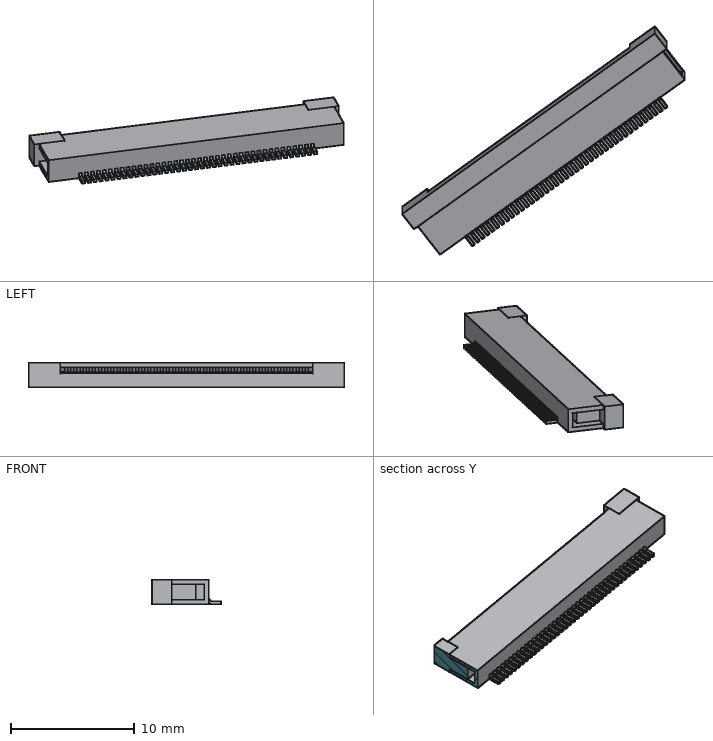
import cadquery as cq

total_length = 25.6
total_depth = 5.6
height = 2.0

housing_length = 24.8
housing_rear = 4.6
rear_wall = 0.35
wall = 0.38
pocket_rear = housing_rear - rear_wall
pocket_top = height - wall

bar_depth = 1.6
arm_rear = 3.55
arms_outer_length = 23.1

slot_length = 20.48
slot_floor = 1.13
slot_roof = 1.25
slot_rear = arm_rear
lip_front = 0.56
lead_in_run = 0.3

contact_count = 40
contact_row_length = 19.5
contact_pitch = contact_row_length / (contact_count - 1)
contact_width = 0.25
contact_bottom = 1.2
contact_run = 0.33
lead_thickness = 0.25
lead_top_bend = 0.2
lead_bottom_bend = 0.13


def box(x_start, x_end, length, z_start, z_end):
    """Box centred on Y = 0 between the given X and Z limits."""
    return (
        cq.Workplane("XY", origin=(0, 0, z_start))
        .rect(x_end - x_start, length)
        .extrude(z_end - z_start)
        .translate(((x_start + x_end) / 2, 0, 0))
    )


def profile_solid(points, y_center, length):
    """Extrude an XZ outline along Y, centred on y_center."""
    return (
        cq.Workplane("XZ", origin=(0, y_center, 0))
        .polyline(points)
        .close()
        .extrude(length / 2, both=True)
    )


def sloped_block(bottom, run, y_center, length):
    """Block below the lip whose front face slopes down to `bottom` over `run` in depth."""
    outline = [
        (lip_front, pocket_top),
        (lip_front + run, bottom),
        (slot_rear, bottom),
        (slot_rear, pocket_top),
    ]
    return profile_solid(outline, y_center, length)


def solder_lead(y_center):
    """Strip that leaves the rear wall, slopes down at 45 degrees and ends flat at Z = 0."""
    outline = [
        (housing_rear, lead_bottom_bend),
        (housing_rear + lead_bottom_bend, 0),
        (total_depth, 0),
        (total_depth, lead_thickness),
        (housing_rear + lead_top_bend, lead_thickness),
        (housing_rear, lead_thickness + lead_top_bend),
    ]
    return profile_solid(outline, y_center, contact_width)


def end_regions(x_start, x_end, outer_length, z_start, z_end):
    """Two boxes, one at each end, that reach from the slot ends out to `outer_length`."""
    full = box(x_start, x_end, outer_length, z_start, z_end)
    return full.cut(box(x_start, x_end, slot_length, z_start, z_end))


def make_housing():
    """Block with end pockets and a cable slot, with the contacts and leads fused to it."""
    block = box(bar_depth, housing_rear, housing_length, 0, height)
    pockets = end_regions(bar_depth, pocket_rear, housing_length, wall, pocket_top)
    slot = box(bar_depth, slot_rear, slot_length, slot_floor, slot_roof)
    lip = box(lip_front, bar_depth, slot_length, pocket_top, height)
    lead_in = sloped_block(slot_roof, lead_in_run, 0, slot_length)
    housing = block.cut(pockets).cut(slot).union(lip).union(lead_in)

    first_contact = -contact_row_length / 2
    for index in range(contact_count):
        y_center = first_contact + index * contact_pitch
        contact = sloped_block(contact_bottom, contact_run, y_center, contact_width)
        housing = housing.union(contact).union(solder_lead(y_center))
    return housing


def make_slider():
    """Front bar notched for the cable slot, with two arms that fit the housing pockets."""
    bar = box(0, bar_depth, total_length, 0, height)
    slot = box(0, bar_depth, slot_length, slot_floor, height)
    arms = end_regions(bar_depth, arm_rear, arms_outer_length, wall, pocket_top)
    return bar.cut(slot).union(arms)


housing = make_housing()
slider = make_slider()
result = cq.Compound.makeCompound([housing.val(), slider.val()])